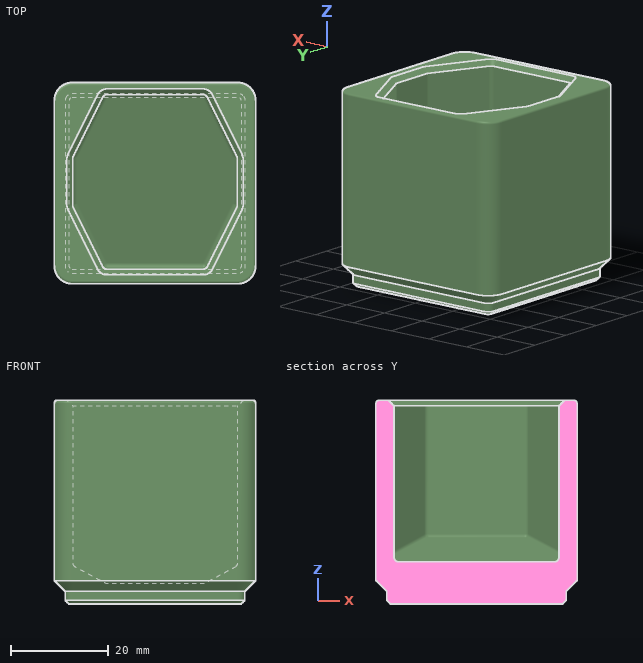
import cadquery as cq
import math

body_width = 41.5
total_height = 42.0
corner_radius = 3.75
top_edge_fillet = 0.65

foot_corner_radius = 1.5
foot_inset = corner_radius - foot_corner_radius
foot_width = body_width - 2 * foot_inset
foot_chamfer = 0.8
foot_wall_height = 1.8
foot_height = foot_chamfer + foot_wall_height
body_bottom = foot_height + foot_inset

pocket_half_x = 16.95
pocket_half_y = 17.98
pocket_shift_y = 0.25
end_flat_half = 10.5
side_flat_half = 5.0
floor_tilt = 15.0
floor_low_height = 4.0
floor_rise = 2 * pocket_half_y * math.tan(math.radians(floor_tilt))
pocket_fillet = 1.0
rim_chamfer = 1.18


def rounded_square(width, height, radius):
    """Square prism standing on Z = 0 with rounded vertical edges."""
    block = cq.Workplane("XY").rect(width, width).extrude(height)
    return block.edges("|Z").fillet(radius)


def make_body():
    """Upper block, tapered at its lower edge to meet the foot."""
    block = rounded_square(body_width, total_height - foot_height, corner_radius)
    block = block.faces("<Z").chamfer(foot_inset)
    block = block.faces(">Z").edges().fillet(top_edge_fillet)
    return block.translate((0, 0, foot_height))


def make_foot():
    """Narrower base with a chamfered lower edge, reaching into the body."""
    foot = rounded_square(foot_width, body_bottom, foot_corner_radius)
    return foot.faces("<Z").chamfer(foot_chamfer)


def pocket_prism():
    """Eight-sided prism through the full height, still with sharp edges."""
    quarter = [(pocket_half_x, side_flat_half), (end_flat_half, pocket_half_y)]
    upper = quarter + [(-x, y) for x, y in reversed(quarter)]
    outline = upper + [(-x, -y) for x, y in upper]
    return cq.Workplane("XY").polyline(outline).close().extrude(total_height)


def floor_wedge():
    """Sloped block of material left below the pocket floor."""
    profile = [
        (-pocket_half_y, 0),
        (pocket_half_y, 0),
        (pocket_half_y, floor_low_height + floor_rise),
        (-pocket_half_y, floor_low_height),
    ]
    wedge = cq.Workplane("YZ").polyline(profile).close()
    return wedge.extrude(pocket_half_x, both=True)


def make_pocket():
    """Solid to cut away: the prism above the sloped floor, with rounded wall and floor edges."""
    pocket = pocket_prism().cut(floor_wedge())
    pocket = pocket.edges("not >Z").fillet(pocket_fillet)
    return pocket.translate((0, pocket_shift_y, 0))


def chamfer_rim(part):
    """Bevel the pocket mouth: the inner wire of the top face."""
    rim = part.faces(">Z").val().innerWires()[0]
    return part.newObject(rim.Edges()).chamfer(rim_chamfer)


result = chamfer_rim(make_body().union(make_foot()).cut(make_pocket()))